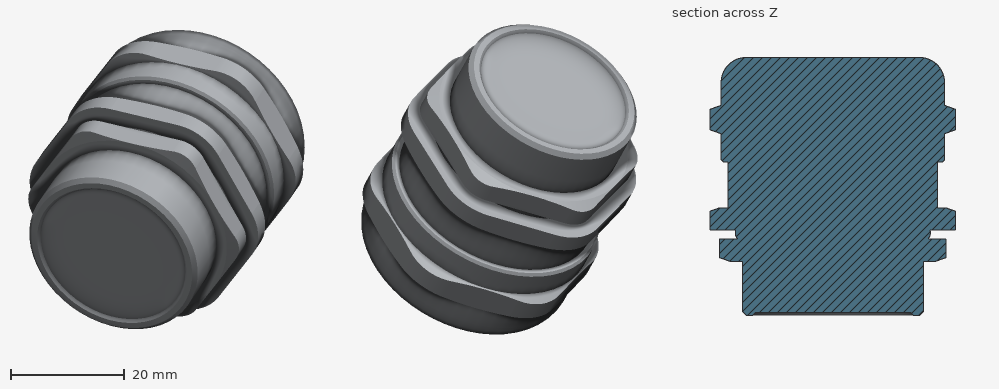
import cadquery as cq
import math


TOTAL_LENGTH = 45.56
LOCKNUT_START = 9.5
LOCKNUT_END = 13.6
FLANGE_START = 15.1
FLANGE_END = 19.05
CAP_START = 27.05
CAP_HEX_START = 32.05
CAP_HEX_END = 37.1

SPIGOT_DIAMETER = 32.0
SPIGOT_CHAMFER = 0.75
GASKET_DIAMETER = 34.5
GASKET_SECTION_RADIUS = 1.5
GASKET_CREST = 14.6
BODY_DIAMETER = 37.0
CAP_DIAMETER = 39.5
CAP_RIM_CHAMFER = 0.45
DOME_RADIUS = 4.5

RECESS_MOUTH_DIAMETER = 28.4
RECESS_FLOOR_DIAMETER = 27.4
RECESS_DEPTH = 0.5

LARGE_HEX_FLATS = 40.0
LARGE_HEX_CORNER_RADIUS = 9.0
SMALL_HEX_FLATS = 36.0
SMALL_HEX_CORNER_RADIUS = 5.0
HEX_BEVEL_ANGLE = 20.0


def cylinder(diameter, start, end):
    """Solid cylinder on the Y axis between two stations."""
    plane = cq.Workplane("XZ", origin=(0, start, 0))
    return plane.circle(diameter / 2).extrude(start - end)


def bevel_cone(flats, start, end, inner_diameter, bevel_start, bevel_end):
    """Revolved envelope whose conical ends rise from the inner diameter at the end faces."""
    inner_radius = inner_diameter / 2
    outer_radius = flats / math.sqrt(3)
    bevel_length = (outer_radius - inner_radius) * math.tan(math.radians(HEX_BEVEL_ANGLE))
    profile = cq.Workplane("XY").moveTo(0, start)
    if bevel_start:
        profile = profile.lineTo(inner_radius, start).lineTo(outer_radius, start + bevel_length)
    else:
        profile = profile.lineTo(outer_radius, start)
    if bevel_end:
        profile = profile.lineTo(outer_radius, end - bevel_length).lineTo(inner_radius, end)
    else:
        profile = profile.lineTo(outer_radius, end)
    return profile.lineTo(0, end).close().revolve(360, (0, 0, 0), (0, 1, 0))


def hexagon(flats, corner_radius, start, end, inner_diameter, bevel_start=False, bevel_end=False):
    """Hexagon with rounded corners, flats facing +Z and -Z, bevelled on the chosen faces."""
    corner_diameter = 2 * flats / math.sqrt(3)
    plane = cq.Workplane("XZ", origin=(0, start, 0))
    prism = plane.polygon(6, corner_diameter).extrude(start - end).edges("|Y").fillet(corner_radius)
    return prism.intersect(bevel_cone(flats, start, end, inner_diameter, bevel_start, bevel_end))


def connection_spigot():
    """Chamfered spigot with its shallow conical recess."""
    spigot = cylinder(SPIGOT_DIAMETER, 0, LOCKNUT_START).faces("<Y").chamfer(SPIGOT_CHAMFER)
    recess = (
        cq.Workplane("XY")
        .lineTo(RECESS_MOUTH_DIAMETER / 2, 0)
        .lineTo(RECESS_FLOOR_DIAMETER / 2, RECESS_DEPTH)
        .lineTo(0, RECESS_DEPTH)
        .close()
        .revolve(360, (0, 0, 0), (0, 1, 0))
    )
    return spigot.cut(recess)


def gasket():
    """Solid disk between locknut and flange with the bulging rim of a squeezed sealing ring."""
    section_centre = GASKET_DIAMETER / 2 - GASKET_SECTION_RADIUS

    def rim_radius(station):
        return section_centre + math.sqrt(GASKET_SECTION_RADIUS**2 - (station - GASKET_CREST) ** 2)

    return (
        cq.Workplane("XY")
        .moveTo(0, LOCKNUT_END)
        .lineTo(rim_radius(LOCKNUT_END), LOCKNUT_END)
        .threePointArc((GASKET_DIAMETER / 2, GASKET_CREST), (rim_radius(FLANGE_START), FLANGE_START))
        .lineTo(0, FLANGE_START)
        .close()
        .revolve(360, (0, 0, 0), (0, 1, 0))
    )


def cap():
    """Domed cap with a chamfered rim."""
    barrel = cylinder(CAP_DIAMETER, CAP_START, TOTAL_LENGTH)
    barrel = barrel.faces("<Y").chamfer(CAP_RIM_CHAMFER)
    return barrel.faces(">Y").edges().fillet(DOME_RADIUS)


locknut = hexagon(
    SMALL_HEX_FLATS,
    SMALL_HEX_CORNER_RADIUS,
    LOCKNUT_START,
    LOCKNUT_END,
    inner_diameter=SMALL_HEX_FLATS,
    bevel_start=True,
)
flange = hexagon(
    LARGE_HEX_FLATS,
    LARGE_HEX_CORNER_RADIUS,
    FLANGE_START,
    FLANGE_END,
    inner_diameter=LARGE_HEX_FLATS,
    bevel_end=True,
)
body = cylinder(BODY_DIAMETER, FLANGE_END, CAP_START)
cap_hexagon = hexagon(
    LARGE_HEX_FLATS,
    LARGE_HEX_CORNER_RADIUS,
    CAP_HEX_START,
    CAP_HEX_END,
    inner_diameter=CAP_DIAMETER,
    bevel_start=True,
    bevel_end=True,
)

result = (
    connection_spigot()
    .union(locknut)
    .union(gasket())
    .union(flange)
    .union(body)
    .union(cap())
    .union(cap_hexagon)
)